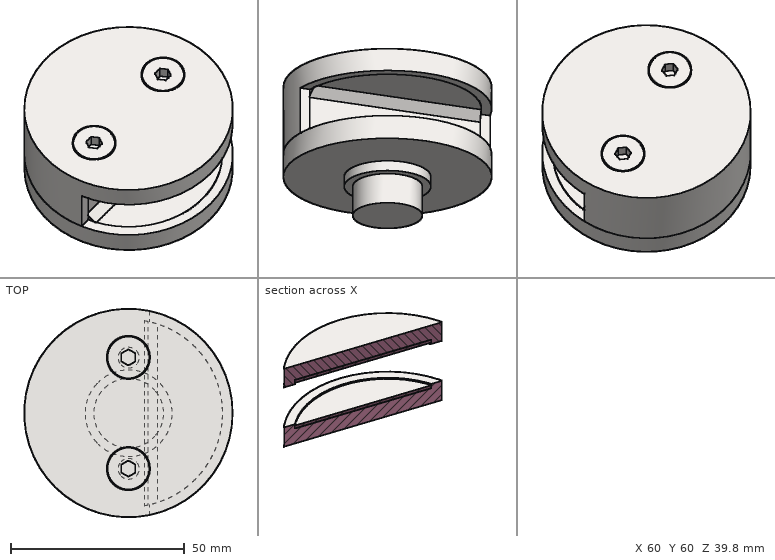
import cadquery as cq
import math

DISC_DIAMETER = 60.0
TOTAL_HEIGHT = 39.8
DISC_RADIUS = DISC_DIAMETER / 2

SPIGOT_RADIUS = 10.0
SPIGOT_LENGTH = 9.0
COLLAR_RADIUS = 12.5
COLLAR_HEIGHT = 3.0

BASE_THICKNESS = 7.0
SLOT_HEIGHT = 14.0
SLOT_WALL_X = 6.0
BASE_BOTTOM = SPIGOT_LENGTH + COLLAR_HEIGHT
BASE_TOP = BASE_BOTTOM + BASE_THICKNESS
SLOT_TOP = BASE_TOP + SLOT_HEIGHT

GASKET_RADIUS = 27.0
GASKET_THICKNESS = 1.0
GASKET_SETBACK = 0.5
CORNER_LEG = 2.75
POCKET_DEPTH = GASKET_THICKNESS + GASKET_SETBACK

SCREW_SPACING = 32.0
HEAD_RADIUS = 6.0
SHANK_RADIUS = 3.0
HEAD_CLEARANCE = 0.25
HEAD_RIM_HEIGHT = 0.6
SCREW_LENGTH = 25.0
HEX_FLATS = 4.0
HEX_DEPTH = 3.6
HEX_CORNERS = HEX_FLATS / math.cos(math.radians(30))
SCREW_BOTTOM = TOTAL_HEIGHT - SCREW_LENGTH
SCREW_PLACES = [(0, side * SCREW_SPACING / 2) for side in (-1, 1)]


def cylinder(radius, bottom, top):
    """Upright cylinder on the Z axis."""
    return cq.Workplane("XY").workplane(offset=bottom).circle(radius).extrude(top - bottom)


def slot_block(wall_x, bottom, top):
    """Block from wall_x to the +X rim, spanning the full width of the disc."""
    return cq.Workplane("XY").box(
        DISC_RADIUS - wall_x, DISC_DIAMETER, top - bottom, centered=(False, True, False)
    ).translate((wall_x, 0, bottom))


def countersunk_form(head_radius, rim_height):
    """Shank, 90 degree cone and straight rim around the Z axis, level with the clamp top."""
    rim_bottom = TOTAL_HEIGHT - rim_height
    cone_bottom = rim_bottom - (head_radius - SHANK_RADIUS)
    return (
        cq.Workplane("XZ")
        .moveTo(0, SCREW_BOTTOM)
        .lineTo(SHANK_RADIUS, SCREW_BOTTOM)
        .lineTo(SHANK_RADIUS, cone_bottom)
        .lineTo(head_radius, rim_bottom)
        .lineTo(head_radius, TOTAL_HEIGHT)
        .lineTo(0, TOTAL_HEIGHT)
        .close()
        .revolve(360, (0, 0), (0, 1))
    )


def gasket_envelope():
    """Gasket outline, filled solid from the floor to the roof of its pocket."""
    block = slot_block(SLOT_WALL_X - POCKET_DEPTH, BASE_TOP - POCKET_DEPTH, SLOT_TOP + POCKET_DEPTH)
    return block.intersect(cylinder(GASKET_RADIUS, 0, TOTAL_HEIGHT))


def gasket_opening():
    """Clear space inside the gasket, with sloped corners along the slot wall."""
    wall_x = SLOT_WALL_X - GASKET_SETBACK
    block = slot_block(wall_x, BASE_TOP - GASKET_SETBACK, SLOT_TOP + GASKET_SETBACK)
    return block.edges("|Y and <X").chamfer(CORNER_LEG)


def make_gasket():
    return gasket_envelope().cut(gasket_opening())


def cut_screw_holes(body):
    hole = countersunk_form(HEAD_RADIUS + HEAD_CLEARANCE, HEAD_RIM_HEIGHT - HEAD_CLEARANCE)
    for x, y in SCREW_PLACES:
        body = body.cut(hole.translate((x, y, 0)))
    return body


def make_base():
    base = cylinder(SPIGOT_RADIUS, 0, SPIGOT_LENGTH)
    base = base.union(cylinder(COLLAR_RADIUS, SPIGOT_LENGTH, BASE_BOTTOM))
    base = base.union(cylinder(DISC_RADIUS, BASE_BOTTOM, BASE_TOP))
    return cut_screw_holes(base.cut(gasket_envelope()))


def make_cap():
    cap = cylinder(DISC_RADIUS, BASE_TOP, TOTAL_HEIGHT)
    cap = cap.cut(slot_block(SLOT_WALL_X, BASE_TOP, SLOT_TOP))
    return cut_screw_holes(cap.cut(gasket_envelope()))


def make_screw(x, y):
    hex_socket = (
        cq.Workplane("XY")
        .workplane(offset=TOTAL_HEIGHT - HEX_DEPTH)
        .polygon(6, HEX_CORNERS)
        .extrude(HEX_DEPTH)
        .rotate((0, 0, 0), (0, 0, 1), 30)
    )
    return countersunk_form(HEAD_RADIUS, HEAD_RIM_HEIGHT).cut(hex_socket).translate((x, y, 0))


base = make_base()
cap = make_cap()
gasket = make_gasket()
screws = [make_screw(x, y) for x, y in SCREW_PLACES]

result = cq.Compound.makeCompound(
    [base.val(), cap.val(), gasket.val(), *[screw.val() for screw in screws]]
)